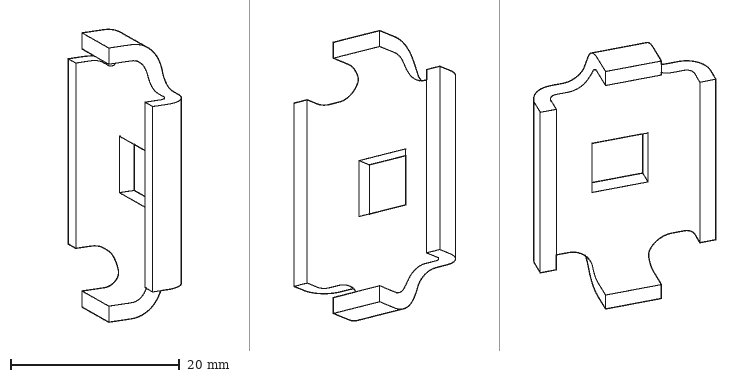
import cadquery as cq
import math

width = 22.0
height = 34.0
sheet = 2.0
plate_height = 23.0

side_depth = 5.0
side_inner_radius = 1.0
side_outer_radius = side_inner_radius + sheet

tab_width = 7.0
tab_depth = 7.0
tab_inner_radius = 2.0
tab_outer_radius = tab_inner_radius + sheet

corner_radius = 3.0
neutral_factor = 0.25
hole_size = 7.0

bend_start = height / 2 - tab_outer_radius
corner_on_flat = bend_start - plate_height / 2
neutral_radius = tab_inner_radius + neutral_factor * sheet
corner_end_angle = (corner_radius - corner_on_flat) / neutral_radius

section_count = 13
radial_margin = 0.35


def half_width_at(rise):
    """Half width of the flat sheet at a given rise above the plate edge, along the corner arc."""
    to_tangent = corner_radius - rise
    return tab_width / 2 + corner_radius - math.sqrt(corner_radius**2 - to_tangent**2)


def make_rounded_block(block_width, back_y, radius):
    """Block reaching from the side flange ends to back_y, with its two back edges rounded."""
    block_depth = side_depth + back_y
    return (
        cq.Workplane("XY")
        .box(block_width, block_depth, plate_height)
        .edges("|Z and >Y")
        .fillet(radius)
        .translate((0, back_y - block_depth / 2, 0))
    )


def make_channel():
    """Plate with a bent flange along each side: a rounded block hollowed to the sheet thickness."""
    outer = make_rounded_block(width, 0, side_outer_radius)
    inner = make_rounded_block(width - 2 * sheet, -sheet, side_inner_radius)
    return outer.cut(inner)


def make_tab_root():
    """Flat stretch between the plate edge and the tab bend, with the lower part of both corner arcs."""
    edge = plate_height / 2
    wide = half_width_at(0)
    middle = half_width_at(corner_on_flat / 2)
    narrow = half_width_at(corner_on_flat)
    return (
        cq.Workplane("XZ")
        .moveTo(-wide, edge)
        .lineTo(wide, edge)
        .threePointArc((middle, edge + corner_on_flat / 2), (narrow, bend_start))
        .lineTo(-narrow, bend_start)
        .threePointArc((-middle, edge + corner_on_flat / 2), (-wide, edge))
        .close()
        .extrude(sheet)
    )


def bend_point(radius, angle):
    """(Y, Z) of a point on the tab bend, with the angle growing from the plate toward the lip."""
    y = -tab_outer_radius + radius * math.cos(angle)
    z = bend_start + radius * math.sin(angle)
    return (y, z)


def make_bend_section(angle):
    """Rectangle across the bend, as wide as the wrapped corner arcs leave it at this angle."""
    half = half_width_at(corner_on_flat + neutral_radius * angle)
    low = tab_inner_radius - radial_margin
    high = tab_outer_radius + radial_margin
    corners = [(-half, low), (half, low), (half, high), (-half, high)]
    points = [(x, *bend_point(radius, angle)) for x, radius in corners]
    return cq.Wire.makePolygon(points, close=True)


def make_bend(bend_width, first_angle, last_angle):
    """Sector of the tab bend between two angles."""
    middle_angle = (first_angle + last_angle) / 2
    return (
        cq.Workplane("YZ")
        .moveTo(*bend_point(tab_inner_radius, first_angle))
        .lineTo(*bend_point(tab_outer_radius, first_angle))
        .threePointArc(bend_point(tab_outer_radius, middle_angle), bend_point(tab_outer_radius, last_angle))
        .lineTo(*bend_point(tab_inner_radius, last_angle))
        .threePointArc(bend_point(tab_inner_radius, middle_angle), bend_point(tab_inner_radius, first_angle))
        .close()
        .extrude(bend_width / 2, both=True)
    )


def make_tab():
    """Tab at the top: flat root, bend carrying the wrapped corners, then a straight lip."""
    angles = [corner_end_angle * i / (section_count - 1) for i in range(section_count)]
    wrapped_corners = cq.Solid.makeLoft([make_bend_section(angle) for angle in angles])
    tapered_bend = make_bend(width, 0, corner_end_angle).intersect(cq.Workplane(wrapped_corners))
    plain_bend = make_bend(tab_width, corner_end_angle, math.pi / 2)
    lip_length = tab_depth - tab_outer_radius
    lip = (
        cq.Workplane("XY")
        .box(tab_width, lip_length, sheet)
        .translate((0, -tab_outer_radius - lip_length / 2, (height - sheet) / 2))
    )
    return make_tab_root().union(tapered_bend).union(plain_bend).union(lip)


top_tab = make_tab()
bottom_tab = top_tab.mirror("XY")
hole = cq.Workplane("XZ").rect(hole_size, hole_size).extrude(sheet)

result = make_channel().union(top_tab).union(bottom_tab).cut(hole)